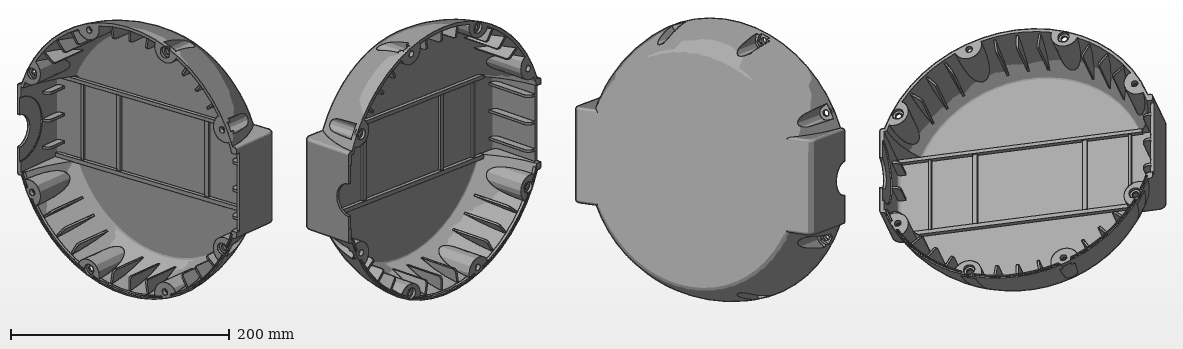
import cadquery as cq
import math

rim_radius = 132.0
depth = 57.5
wall = 3.2
floor_y = depth - wall
root_y = depth - wall / 2

mid_radius = 126.7
mid_y = 26.5
back_radius = 112.0
back_fillet = 6.0
inner_back_fillet = back_fillet - wall

box_half_length = 257.5 / 2
box_half_width = 89.8 / 2
box_end_fillet = 8.7
box_edge_fillet = 2.6
left_wall = 4.0
left_cavity_half_width = box_half_width - wall
right_cavity_half_width = 38.3
left_cavity_fillet = 3.5
right_cavity_fillet = box_end_fillet - wall

right_wall_drop = 4.8
notch_radius = 16.0
notch_y = -1.3
notch_z = -1.8
seat_radius = 31.5
seat_depth = 1.3

upper_rail = (37.0, 40.5)
lower_rail = (-42.0, -38.0)
rail_height = 4.2
rail_right_x = 106.1
cross_rib_height = 2.6
cross_ribs = [(51.7, 4.2), (94.3, 2.6)]

end_fin_reach_x = 117.5
end_fin_thickness = 2.5
end_fin_pitch = 27.0
end_fin_round = 6.3

screw_circle_radius = 126.0
boss_circle_radius = 129.5
boss_radius = 13.2
boss_angles = [27.6, 69.3]
screw_hole_radius = 6.0 / 2
counterbore_radius = 5.3
counterbore_depth = 3.2
slot_radius = 6.5
slot_flare = 0.2
screw_slot_floor = 5.3
nut_slot_floor = 8.7
nut_seat_floor = 4.8
nut_corner_radius = 5.0
nut_half_width = nut_corner_radius * math.sqrt(3) / 2

ledge_inset = 1.5
ledge_depth = 3.2
ledge_screw_clearance = 6.9

fin_inner_radius = 115.0
fin_thickness = 1.98
fin_front_y = 4.0
fin_round = 3.2
fin_pitch = 9.6


def front_plane(y):
    """Workplane at the given Y; negative extrusions run toward the back."""
    return cq.Workplane("XZ", origin=(0, y, 0))


def block(x_min, x_max, y_min, y_max, z_min, z_max):
    size = (x_max - x_min, y_max - y_min, z_max - z_min)
    return cq.Workplane("XY").box(*size, centered=False).translate((x_min, y_min, z_min))


def turn(solid, angle):
    """Turn a solid lying along +X about the dome axis, toward +Z."""
    return solid.rotate((0, 0, 0), (0, 1, 0), -angle)


def dome(inset, end_y, fillet):
    """Solid of revolution about Y, inset from the outer curve and trimmed to the box length."""
    profile = (
        cq.Workplane("XY")
        .lineTo(rim_radius - inset, 0)
        .threePointArc((mid_radius - inset, mid_y), (back_radius - inset, depth))
        .lineTo(0, depth)
        .close()
    )
    solid = profile.revolve(360, (0, 0, 0), (0, 1, 0))
    solid = solid.intersect(front_plane(0).circle(2 * rim_radius).extrude(-end_y))
    solid = solid.faces(">Y").edges().fillet(fillet)
    half_length = box_half_length - inset
    return solid.intersect(block(-half_length, half_length, 0, end_y, -rim_radius, rim_radius))


def outer_box():
    """Box with well rounded back ends and lightly rounded sides."""
    box = block(-box_half_length, box_half_length, 0, depth, -box_half_width, box_half_width)
    box = box.edges("|Z and >Y").fillet(box_end_fillet)
    return box.faces("<Z or >Z").edges("not(<Y)").fillet(box_edge_fillet)


def box_cavity():
    """Inside of the box; the right half is narrower, leaving thicker side walls."""
    left = block(
        -box_half_length + left_wall, 0, 0, floor_y, -left_cavity_half_width, left_cavity_half_width
    )
    right = block(
        0, box_half_length - wall, 0, floor_y, -right_cavity_half_width, right_cavity_half_width
    )
    left = left.edges("|Z and >Y and <X").fillet(left_cavity_fillet)
    right = right.edges("|Z and >Y and >X").fillet(right_cavity_fillet)
    return left.union(right)


def floor_ribs():
    """Two rails along X, joined by lower cross ribs."""
    rail_left_x = -box_half_length + left_wall / 2
    ribs = cq.Workplane("XY")
    for rail in (upper_rail, lower_rail):
        ribs = ribs.union(
            block(rail_left_x, rail_right_x, floor_y - rail_height, root_y, *rail)
        )
    for distance, width in cross_ribs:
        for x in (-distance, distance):
            ribs = ribs.union(
                block(
                    x - width / 2, x + width / 2, floor_y - cross_rib_height, root_y,
                    lower_rail[1], upper_rail[0],
                )
            )
    return ribs


def end_fin(front_y, z):
    """Fin on the +X end wall with a rounded front corner."""
    fin = block(
        end_fin_reach_x, box_half_length - wall / 2, front_y, root_y,
        z - end_fin_thickness / 2, z + end_fin_thickness / 2,
    )
    return fin.edges("|Z and <X and <Y").fillet(end_fin_round)


def end_fins():
    fins = cq.Workplane("XY")
    for step in (-1, 0, 1):
        z = step * end_fin_pitch
        fins = fins.union(end_fin(right_wall_drop, z))
        fins = fins.union(end_fin(seat_radius, z).mirror("YZ"))
    return fins


def dome_fin(angle):
    fin = block(
        fin_inner_radius, rim_radius, fin_front_y, root_y,
        -fin_thickness / 2, fin_thickness / 2,
    )
    return turn(fin.edges("|Z and <X and <Y").fillet(fin_round), angle)


def dome_fins():
    fins = cq.Workplane("XY")
    diagonal = sum(boss_angles) / 2
    for centre in (diagonal, 90, 180 - diagonal):
        for side in (0, 180):
            for step in (-1, 0, 1):
                fins = fins.union(dome_fin(centre + side + step * fin_pitch))
    return fins


def radial_slot(half_width, flare, y_min, y_max):
    """Slot from a screw axis on +X outward through the dome, widening by the flare."""
    length = rim_radius + wall - screw_circle_radius
    outer_half_width = half_width + flare * length
    outline = (
        front_plane(y_min)
        .center(screw_circle_radius, 0)
        .moveTo(0, -half_width)
        .lineTo(length, -outer_half_width)
        .lineTo(length, outer_half_width)
        .lineTo(0, half_width)
        .close()
    )
    return outline.extrude(y_min - y_max)


def screw_disc(radius, y_min, y_max):
    """Cylinder on a screw axis that lies on +X."""
    return front_plane(y_min).center(screw_circle_radius, 0).circle(radius).extrude(y_min - y_max)


def boss_post():
    """Boss on +X, centred slightly outward of its screw."""
    disc = front_plane(0).center(boss_circle_radius, 0).circle(boss_radius)
    return disc.extrude(-root_y)


def boss_cut(takes_nut):
    """Screw hole, outside access slot, and either a nut seat or a rim counterbore."""
    slot_floor = nut_slot_floor if takes_nut else screw_slot_floor
    cut = screw_disc(screw_hole_radius, 0, depth / 2)
    cut = cut.union(screw_disc(slot_radius, slot_floor, depth))
    cut = cut.union(radial_slot(slot_radius, slot_flare, slot_floor, depth))
    if takes_nut:
        nut = (
            front_plane(nut_seat_floor)
            .center(screw_circle_radius, 0)
            .polygon(6, 2 * nut_corner_radius)
            .extrude(nut_seat_floor - slot_floor)
        )
        return cut.union(nut).union(radial_slot(nut_half_width, 0, nut_seat_floor, slot_floor))
    return cut.union(screw_disc(counterbore_radius, 0, counterbore_depth))


def rim_ledge(screw_angles):
    """Step along the lower rim, left standing around each screw."""
    ring = (
        front_plane(0)
        .circle(rim_radius - ledge_inset)
        .circle(rim_radius - wall)
        .extrude(-ledge_depth)
    )
    below_box = block(
        -rim_radius, rim_radius, 0, ledge_depth, -rim_radius, -left_cavity_half_width
    )
    ledge = ring.intersect(below_box)
    for angle in screw_angles:
        ledge = ledge.cut(turn(screw_disc(ledge_screw_clearance, 0, ledge_depth), angle))
    return ledge


outer_dome = dome(0, depth, back_fillet)
envelope = outer_dome.union(outer_box())
shell = envelope.cut(dome(wall, floor_y, inner_back_fillet)).cut(box_cavity())

shell = shell.cut(
    block(
        box_half_length - 2 * wall, box_half_length + wall, 0, right_wall_drop,
        -right_cavity_half_width, right_cavity_half_width,
    )
)

notch = (
    cq.Workplane("YZ", origin=(-box_half_length - wall, notch_y, notch_z))
    .circle(notch_radius)
    .extrude(wall + 2 * left_wall)
)
seat = (
    cq.Workplane("YZ", origin=(-box_half_length + left_wall - seat_depth, 0, 0))
    .circle(seat_radius)
    .extrude(2 * seat_depth)
)
shell = shell.cut(notch).cut(seat)

inner_ribs = floor_ribs().union(end_fins()).union(dome_fins())
shell = shell.union(inner_ribs.intersect(envelope))

all_boss_angles = []
for half_turn in (0, 180):
    all_boss_angles += [half_turn + angle for angle in boss_angles]
    all_boss_angles += [half_turn + 180 - angle for angle in reversed(boss_angles)]

posts = cq.Workplane("XY")
boss_cuts = cq.Workplane("XY")
for index, angle in enumerate(all_boss_angles):
    posts = posts.union(turn(boss_post(), angle))
    boss_cuts = boss_cuts.union(turn(boss_cut(takes_nut=index % 2 == 0), angle))

shell = shell.union(posts.intersect(outer_dome))
shell = shell.cut(boss_cuts).cut(rim_ledge(all_boss_angles))

result = shell